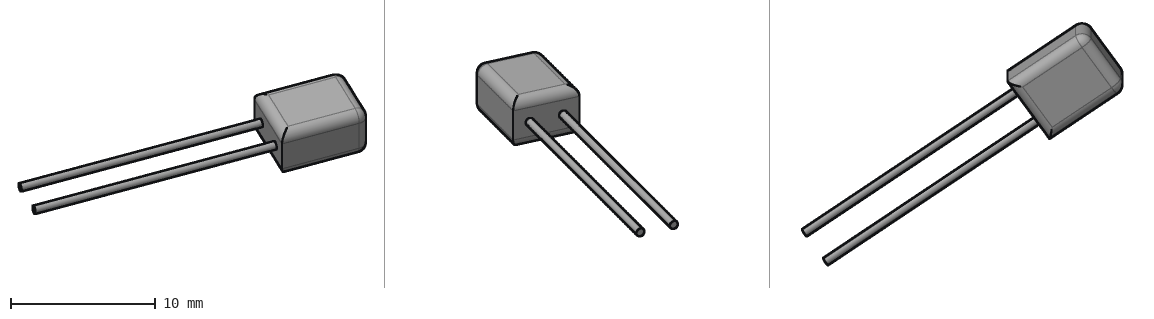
import cadquery as cq

total_length = 24.5

case_width = 5.07
case_length = 6.52
case_height = 3.8
edge_radius = 0.75

lead_diameter = 0.61
lead_spacing = 2.55
lead_length = total_length - case_length


def make_case():
    """Block with its lead face at Y = 0, centred on X and Z."""
    block = cq.Workplane("XY").box(case_width, case_length, case_height, centered=(True, False, True))
    rounded_edges = block.edges("|X or |Y or (|Z and >Y)")
    return rounded_edges.fillet(edge_radius)


def make_lead(x_position):
    """Straight round wire that butts against the lead face and runs toward -Y."""
    wire = cq.Workplane("XZ").center(x_position, 0).circle(lead_diameter / 2)
    return wire.extrude(lead_length)


case = make_case()
leads = [make_lead(side * lead_spacing / 2) for side in (-1, 1)]

result = cq.Compound.makeCompound([case.val(), *[lead.val() for lead in leads]])